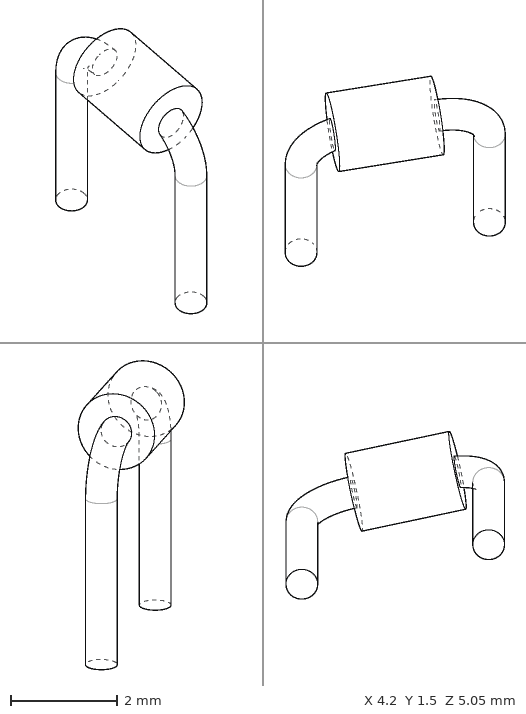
import cadquery as cq

wire_diameter = 0.6
body_diameter = 1.5
body_length = 2.0
lead_pitch = 3.6
bend_radius = 1.0
lead_length = 3.3

body_axis_z = lead_length + bend_radius
body_start_x = bend_radius


def make_lead(axis_x, inward):
    """Straight lead with a quarter bend at its top; inward is the X sign toward the body."""
    straight = (
        cq.Workplane("XY")
        .center(axis_x, 0)
        .circle(wire_diameter / 2)
        .extrude(lead_length)
    )
    bend = (
        cq.Workplane("XY", origin=(axis_x, 0, lead_length))
        .circle(wire_diameter / 2)
        .revolve(90, (inward * bend_radius, 0, 0), (inward * bend_radius, inward, 0))
    )
    return straight.union(bend)


def make_body():
    """Solid cylinder along X, centred on the wire."""
    return (
        cq.Workplane("YZ", origin=(body_start_x, 0, body_axis_z))
        .circle(body_diameter / 2)
        .extrude(body_length)
    )


left_lead = make_lead(0, 1)
right_lead = make_lead(lead_pitch, -1)

result = make_body().union(left_lead).union(right_lead)